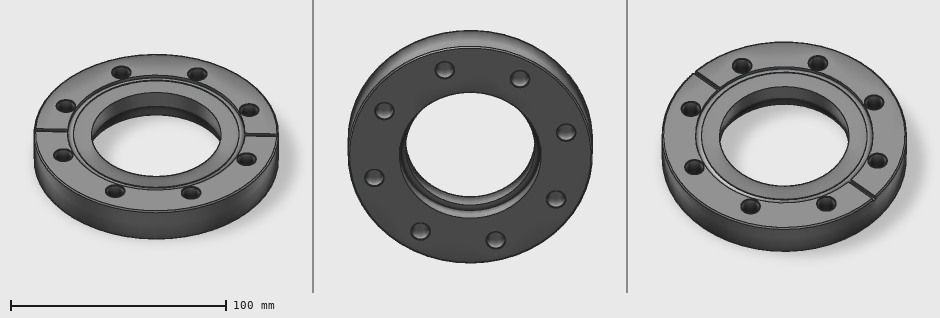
import cadquery as cq
import math

outer_radius = 56.8
thickness = 17.3
rim_chamfer = 0.7

recess_radius = 41.2
recess_depth = 1.7
knife_radius = 38.5
knife_depth = 0.7
inner_face_depth = 1.1

bore_radius = 30.1
bore_length = 8.4
socket_radius = 32.9

bolt_count = 8
bolt_circle_radius = 46.1
bolt_hole_diameter = 8.4
bolt_hole_chamfer = 0.3

groove_width = 1.9
groove_depth = 1.7
groove_angle = math.degrees(math.atan2(1, math.sqrt(2) - 1))


def flange_body():
    """Revolve the complete ring section about the Z axis."""
    shoulder_height = thickness - inner_face_depth - bore_length
    section = [
        (socket_radius, 0),
        (outer_radius - rim_chamfer, 0),
        (outer_radius, rim_chamfer),
        (outer_radius, thickness - rim_chamfer),
        (outer_radius - rim_chamfer, thickness),
        (recess_radius, thickness),
        (recess_radius, thickness - recess_depth),
        (knife_radius, thickness - knife_depth),
        (knife_radius, thickness - inner_face_depth),
        (bore_radius, thickness - inner_face_depth),
        (bore_radius, shoulder_height),
        (socket_radius, shoulder_height),
    ]
    return cq.Workplane("XZ").polyline(section).close().revolve(360, (0, 0, 0), (0, 1, 0))


def bolt_holes():
    """Through holes evenly spaced on the bolt circle, chamfered at both ends."""
    hole_radius = bolt_hole_diameter / 2
    mouth_radius = hole_radius + bolt_hole_chamfer
    half_section = [
        (0, 0),
        (mouth_radius, 0),
        (hole_radius, bolt_hole_chamfer),
        (hole_radius, thickness - bolt_hole_chamfer),
        (mouth_radius, thickness),
        (0, thickness),
    ]
    hole = cq.Workplane("XZ").polyline(half_section).close().revolve(360, (0, 0, 0), (0, 1, 0))
    return (
        cq.Workplane("XY")
        .polarArray(bolt_circle_radius, 0, 360, bolt_count)
        .eachpoint(lambda location: hole.val().moved(location), combine=True)
    )


def leak_groove(angle):
    """Shallow radial groove running from the recess out through the rim."""
    inner_end = math.sqrt(recess_radius**2 - (groove_width / 2) ** 2)
    return (
        cq.Workplane("XY")
        .box(outer_radius, groove_width, groove_depth, centered=(False, True, False))
        .translate((inner_end, 0, thickness - groove_depth))
        .rotate((0, 0, 0), (0, 0, 1), angle)
    )


result = flange_body().cut(bolt_holes())
for half_turn in (0, 180):
    result = result.cut(leak_groove(groove_angle + half_turn))